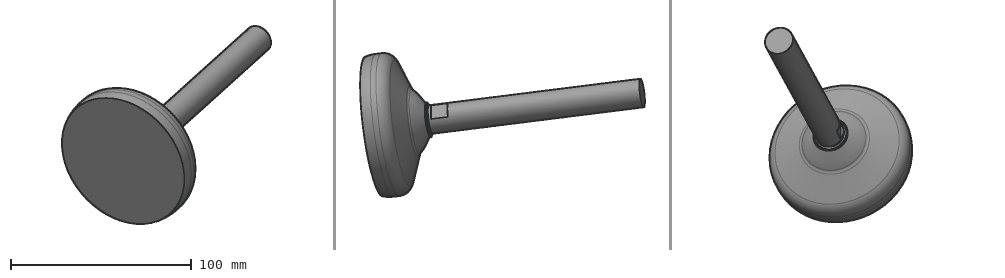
import cadquery as cq
import math

total_length = 151.5

foot_radius = 40.0
underside_radius = 39.1
band_bottom = 5.9
band_top = 9.1
shoulder_arc_radius = 7.4
flank_angle = math.radians(22.5)
flank_top_radius = 20.0
dome_base_radius = 18.2
dome_base_height = 23.3
dome_mid_radius = 13.8
dome_mid_height = 27.3
dome_top_radius = 9.1
dome_top_height = 30.3

lip_radius = 9.8
lip_height = 0.9
lip_top = dome_top_height + lip_height

stem_radius = 8.0
stem_end_chamfer = 0.8
across_flats = 13.0
flat_bottom = 33.5
flat_length = 9.4


def make_foot():
    """Turned foot: tapered rim, rounded shoulder, conical flank, hollow blend, dome and lip."""
    shoulder_turn = math.pi / 2 - flank_angle
    arc_center_radius = foot_radius - shoulder_arc_radius

    def shoulder_point(angle):
        return (
            arc_center_radius + shoulder_arc_radius * math.cos(angle),
            band_top + shoulder_arc_radius * math.sin(angle),
        )

    shoulder_end = shoulder_point(shoulder_turn)
    flank_run = shoulder_end[0] - flank_top_radius
    flank_top_height = shoulder_end[1] + flank_run * math.tan(flank_angle)

    profile = (
        cq.Workplane("XY")
        .lineTo(0, lip_top)
        .lineTo(dome_top_radius, lip_top)
        .lineTo(lip_radius, lip_top - lip_height / 2)
        .lineTo(dome_top_radius, dome_top_height)
        .threePointArc((dome_mid_radius, dome_mid_height), (dome_base_radius, dome_base_height))
        .tangentArcPoint((flank_top_radius, flank_top_height), relative=False)
        .lineTo(*shoulder_end)
        .threePointArc(shoulder_point(shoulder_turn / 2), (foot_radius, band_top))
        .lineTo(foot_radius, band_bottom)
        .tangentArcPoint((underside_radius, 0), relative=False)
        .lineTo(0, 0)
        .close()
    )
    return profile.revolve(360, (0, 0, 0), (0, 1, 0))


def make_stem():
    """Round stem resting on the lip, with two wrench flats facing -X and +X."""
    stem_length = total_length - lip_top
    stem = (
        cq.Workplane("XZ", origin=(0, lip_top, 0))
        .circle(stem_radius)
        .extrude(-stem_length)
        .faces("<Y")
        .chamfer(stem_end_chamfer)
    )
    flat_depth = stem_radius - across_flats / 2
    for side in (-1, 1):
        cutter = cq.Workplane("XY").box(flat_depth, flat_length, 2 * stem_radius)
        cutter_x = side * (across_flats + flat_depth) / 2
        stem = stem.cut(cutter.translate((cutter_x, flat_bottom + flat_length / 2, 0)))
    return stem


foot = make_foot()
stem = make_stem()

result = cq.Compound.makeCompound([foot.val(), stem.val()])